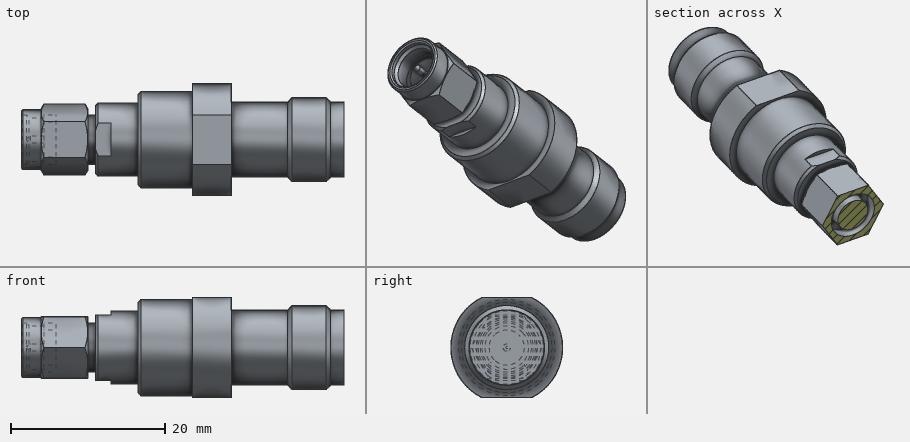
import cadquery as cq
import math

length = 41.8

nose_diameter = 7.8
nose_chamfer = 0.2
hex_start = 2.55
hex_end = 8.6
hex_across_flats = 8.0
hex_bevel_depth = 0.37
hex_bevel_slope = 60.0

neck_diameter = 6.4
shoulder_start = 9.58
shoulder_diameter = 9.5
shoulder_chamfer = 0.35
shoulder_flat_end = 11.6
shoulder_across_flats = 8.5

body_start = 15.1
body_diameter = 12.5
body_chamfer = 0.4

flange_start = 22.15
flange_end = 27.2
flange_diameter = 14.5
flange_across_flats = 13.0

barrel_diameter = 9.7
ring_start = 34.5
ring_end = 40.05
ring_diameter = 10.9
ring_bevel_length = 0.6
ring_bevel_height = 0.55

mouth_diameter = 6.85
mouth_taper_end = 0.15
counterbore_diameter = 6.4
counterbore_end = 0.65
bore_taper_end = 1.0
bore_diameter = 5.65
bore_end = 2.95
relief_diameter = 6.4
socket_depth = 4.5

core_diameter = 4.55
core_start = bore_end
pin_diameter = 0.95
pin_tip_diameter = 0.25
pin_tip = 0.65
pin_cone_end = 1.2


def revolve_profile(outline):
    """Turn a closed outline of (station, radius) points about the X axis."""
    points = [(station, -radius) for station, radius in outline]
    return cq.Workplane("XY").polyline(points).close().revolve(360, (0, 0, 0), (1, 0, 0))


def cylinder(diameter, start, end):
    """Round bar along X between two stations."""
    radius = diameter / 2
    return revolve_profile([(start, 0), (start, radius), (end, radius), (end, 0)])


def flatted(solid, across_flats, start, end):
    """Mill two parallel flats, facing +Z and -Z, over a range of stations."""
    cutter_size = flange_diameter
    for side in (1, -1):
        cutter = cq.Workplane("XY").box(end - start, cutter_size, cutter_size).translate(
            ((start + end) / 2, 0, side * (across_flats + cutter_size) / 2)
        )
        solid = solid.cut(cutter)
    return solid


def make_nut():
    nose = cylinder(nose_diameter, 0, hex_start).faces("<X").chamfer(nose_chamfer)
    corner_diameter = hex_across_flats / math.cos(math.pi / 6)
    hexagon = (
        cq.Workplane("YZ")
        .workplane(offset=hex_start)
        .polygon(6, corner_diameter)
        .extrude(hex_end - hex_start)
    )
    corner_radius = corner_diameter / 2
    end_radius = corner_radius - hex_bevel_depth * math.tan(math.radians(hex_bevel_slope))
    bevel_envelope = revolve_profile([
        (hex_start, 0),
        (hex_start, end_radius),
        (hex_start + hex_bevel_depth, corner_radius),
        (hex_end - hex_bevel_depth, corner_radius),
        (hex_end, end_radius),
        (hex_end, 0),
    ])
    return nose.union(hexagon.intersect(bevel_envelope))


def make_shoulder():
    shoulder = cylinder(shoulder_diameter, shoulder_start, body_start)
    shoulder = shoulder.faces("<X").chamfer(shoulder_chamfer)
    return flatted(shoulder, shoulder_across_flats, shoulder_start, shoulder_flat_end)


def make_body():
    return cylinder(body_diameter, body_start, flange_start).faces("<X").chamfer(body_chamfer)


def make_flange():
    flange = cylinder(flange_diameter, flange_start, flange_end)
    return flatted(flange, flange_across_flats, flange_start, flange_end)


def make_barrel():
    ring = cylinder(ring_diameter, ring_start, ring_end)
    ring = ring.faces("<X or >X").chamfer(ring_bevel_length, ring_bevel_height)
    return cylinder(barrel_diameter, flange_end, length).union(ring)


def make_socket():
    """Stepped cavity that opens at the tip and widens into a relief behind the bore."""
    return revolve_profile([
        (0, 0),
        (0, mouth_diameter / 2),
        (mouth_taper_end, counterbore_diameter / 2),
        (counterbore_end, counterbore_diameter / 2),
        (bore_taper_end, bore_diameter / 2),
        (bore_end, bore_diameter / 2),
        (bore_end, relief_diameter / 2),
        (socket_depth, relief_diameter / 2),
        (socket_depth, 0),
    ])


def make_contact():
    """Round core and pointed center pin standing on the socket floor."""
    return revolve_profile([
        (pin_tip, 0),
        (pin_tip, pin_tip_diameter / 2),
        (pin_cone_end, pin_diameter / 2),
        (core_start, pin_diameter / 2),
        (core_start, core_diameter / 2),
        (socket_depth, core_diameter / 2),
        (socket_depth, 0),
    ])


neck = cylinder(neck_diameter, hex_end, shoulder_start)
result = make_nut().union(neck)
for section in (make_shoulder(), make_body(), make_flange(), make_barrel()):
    result = result.union(section)
result = result.cut(make_socket()).union(make_contact())